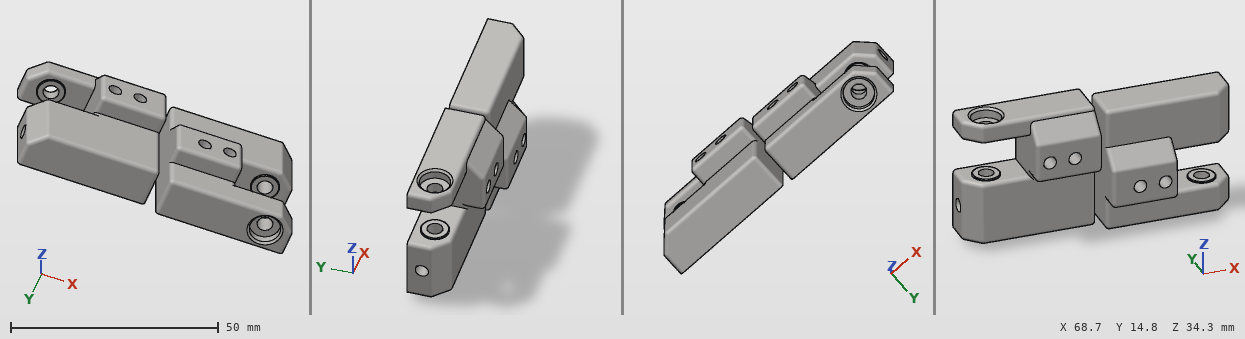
import cadquery as cq

TOTAL_LENGTH = 68.7
LEAF_LENGTH = 33
LEAF_HEIGHT = 32.3
LEFT_LEAF_RAISE = 2.0
PLATE_DEPTH = 10.2
EDGE_RADIUS = 1.0
CORNER_BEVEL = 4.0

MOUTH_LENGTH = 16.15
MOUTH_HEIGHT = 11
LEFT_THIN_ARM = 5.0
RIGHT_THIN_ARM = 7.4

BLOCK_LENGTH = LEAF_LENGTH - MOUTH_LENGTH
BLOCK_HEIGHT = 14.6
BLOCK_RISE = 4.55
LEFT_BLOCK_BOTTOM = 16.7
RIGHT_BLOCK_BOTTOM = 8.05
SCREW_DIAMETER = 3.2
SCREW_SPACING = 6.45
SCREW_INSET = 7.0

PIVOT_X = 6.7
PIVOT_Y = -PLATE_DEPTH / 2
PIVOT_DIAMETER = 3.8
PIVOT_DEPTH = 9.3
WASHER_DIAMETER = 7.0
WASHER_HEIGHT = 0.4
WASHER_CHAMFER = 0.2
HEAD_DIAMETER = 7.55
HEAD_DEPTH = 2.6
HEAD_CHAMFER = 0.55

LOCK_DIAMETER = 3.3
LOCK_LENGTH = 10.0
LOCK_Y = -3.8
LOCK_BELOW_MOUTH = 7.85


def make_plate(thick_arm):
    """Beveled plate with its mouth; all edges rounded but the back rim and the mouth's inner corners."""
    plate = (
        cq.Workplane("XY")
        .polyline([
            (0, 0),
            (LEAF_LENGTH, 0),
            (LEAF_LENGTH, -PLATE_DEPTH),
            (CORNER_BEVEL, -PLATE_DEPTH),
            (0, CORNER_BEVEL - PLATE_DEPTH),
        ])
        .close()
        .extrude(LEAF_HEIGHT)
    )
    mouth = (
        cq.Workplane("XZ")
        .rect(MOUTH_LENGTH, MOUTH_HEIGHT, centered=False)
        .extrude(PLATE_DEPTH)
        .translate((0, 0, thick_arm))
    )
    plate = plate.cut(mouth)
    end_edges = plate.edges("|Y").edges("<X or >X")
    front_edges = plate.edges("not(|Y or >Y)")
    return end_edges.add(front_edges).fillet(EDGE_RADIUS)


def pivot_cylinder(diameter, bottom, top):
    return (
        cq.Workplane("XY", origin=(PIVOT_X, PIVOT_Y, bottom))
        .circle(diameter / 2)
        .extrude(top - bottom)
    )


def add_washers(plate, thick_arm):
    """Low round pads with chamfered rims on both faces of the mouth."""
    mouth_top = thick_arm + MOUTH_HEIGHT
    lower_washer = pivot_cylinder(WASHER_DIAMETER, thick_arm, thick_arm + WASHER_HEIGHT)
    upper_washer = pivot_cylinder(WASHER_DIAMETER, mouth_top - WASHER_HEIGHT, mouth_top)
    lower_washer = lower_washer.edges(">Z").chamfer(WASHER_CHAMFER)
    upper_washer = upper_washer.edges("<Z").chamfer(WASHER_CHAMFER)
    return plate.union(lower_washer).union(upper_washer)


def cut_pivot(plate, thick_arm):
    """Pivot hole with a chamfered recess for the pivot head in the thin arm."""
    hole = pivot_cylinder(PIVOT_DIAMETER, thick_arm - PIVOT_DEPTH, LEAF_HEIGHT)
    recess = pivot_cylinder(HEAD_DIAMETER, LEAF_HEIGHT - HEAD_DEPTH, LEAF_HEIGHT)
    head_radius = HEAD_DIAMETER / 2
    rim_chamfer = cq.Workplane(
        cq.Solid.makeCone(
            head_radius,
            head_radius + HEAD_CHAMFER,
            HEAD_CHAMFER,
            pnt=cq.Vector(PIVOT_X, PIVOT_Y, LEAF_HEIGHT - HEAD_CHAMFER),
        )
    )
    return plate.cut(hole).cut(recess).cut(rim_chamfer)


def cut_lock_hole(plate, thick_arm):
    lock_hole = (
        cq.Workplane("YZ", origin=(0, LOCK_Y, thick_arm - LOCK_BELOW_MOUTH))
        .circle(LOCK_DIAMETER / 2)
        .extrude(LOCK_LENGTH)
    )
    return plate.cut(lock_hole)


def make_block(bottom):
    """Rounded screw block with a 45 degree sloping top, rooted behind the plate's edge rounding."""
    root_y = EDGE_RADIUS - PLATE_DEPTH
    front_y = -PLATE_DEPTH - BLOCK_RISE
    top = bottom + BLOCK_HEIGHT
    block = (
        cq.Workplane("YZ", origin=(MOUTH_LENGTH, 0, 0))
        .polyline([
            (root_y, bottom),
            (front_y, bottom),
            (front_y, top - BLOCK_RISE),
            (root_y, top + EDGE_RADIUS),
        ])
        .close()
        .extrude(BLOCK_LENGTH)
    )
    return block.edges("not(>Y)").fillet(EDGE_RADIUS)


def cut_screw_holes(leaf, block_bottom):
    """Two holes right through, centred on the upright front of the block."""
    height = block_bottom + (BLOCK_HEIGHT - BLOCK_RISE) / 2
    near_x = LEAF_LENGTH - SCREW_INSET
    holes = (
        cq.Workplane("XZ")
        .pushPoints([(near_x, height), (near_x - SCREW_SPACING, height)])
        .circle(SCREW_DIAMETER / 2)
        .extrude(PLATE_DEPTH + BLOCK_RISE)
    )
    return leaf.cut(holes)


def make_leaf(thin_arm, block_bottom, thin_arm_on_top):
    """Leaf with its pivot end at x = 0 and its underside at z = 0."""
    thick_arm = LEAF_HEIGHT - MOUTH_HEIGHT - thin_arm
    leaf = make_plate(thick_arm)
    leaf = add_washers(leaf, thick_arm)
    leaf = cut_pivot(leaf, thick_arm)
    leaf = cut_lock_hole(leaf, thick_arm)
    if not thin_arm_on_top:
        leaf = leaf.mirror("XY").translate((0, 0, LEAF_HEIGHT))
    leaf = leaf.union(make_block(block_bottom))
    return cut_screw_holes(leaf, block_bottom)


left_leaf = make_leaf(LEFT_THIN_ARM, LEFT_BLOCK_BOTTOM, thin_arm_on_top=True)
left_leaf = left_leaf.translate((0, 0, LEFT_LEAF_RAISE))

right_leaf = make_leaf(RIGHT_THIN_ARM, RIGHT_BLOCK_BOTTOM, thin_arm_on_top=False)
right_leaf = right_leaf.mirror("YZ").translate((TOTAL_LENGTH, 0, 0))

result = cq.Compound.makeCompound([left_leaf.solids().val(), right_leaf.solids().val()])